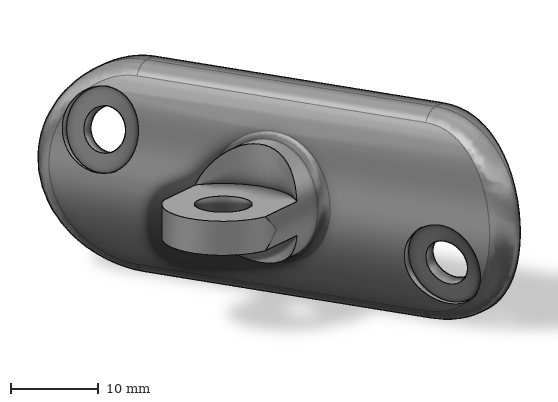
import cadquery as cq
import math

plate_length = 63.0
plate_width = 25.0
inner_radius = 21.4
plate_thickness = 2.65
outer_radius = inner_radius + plate_thickness
plate_edge_fillet = 2.5

boss_radius = 7.0
boss_fillet = 1.0
lug_thickness = 4.05
overall_depth = 24.05
lug_hole_radius = 3.3
scoop_radius = 8.45

screw_x = 22.5
screw_angle = 11.5
screw_hole_radius = 2.7
counterbore_radius = 5.0
counterbore_depth = 1.0

plate_back_y = -math.sqrt(inner_radius**2 - (plate_width / 2) ** 2)
lug_tip_y = plate_back_y - overall_depth
lug_hole_y = lug_tip_y + boss_radius


def cylinder(radius, length, start, direction):
    return cq.Workplane(cq.Solid.makeCylinder(radius, length, cq.Vector(*start), cq.Vector(*direction)))


def make_plate():
    """Curved obround plate with its front edge rounded."""
    start = (-plate_length / 2, 0, 0)
    outer = cylinder(outer_radius, plate_length, start, (1, 0, 0))
    inner = cylinder(inner_radius, plate_length, start, (1, 0, 0))
    outline = cq.Workplane("XZ").slot2D(plate_length, plate_width).extrude(outer_radius)
    plate = outline.intersect(outer).cut(inner)
    front_face = plate.faces(cq.selectors.NearestToPointSelector((0, -outer_radius, 0)))
    return front_face.edges().fillet(plate_edge_fillet)


def add_boss(plate):
    """Join the boss to the plate and blend its root."""
    boss_start_y = -(inner_radius + plate_thickness / 2)
    boss = cylinder(boss_radius, boss_start_y - lug_tip_y, (0, boss_start_y, 0), (0, -1, 0))
    margin = 0.6
    half_size = boss_radius + margin
    root_box = cq.selectors.BoxSelector(
        (-half_size, -outer_radius - margin, -half_size),
        (half_size, -inner_radius - margin, half_size),
        boundingbox=True,
    )
    return plate.union(boss).edges(root_box).fillet(boss_fillet)


def shape_lug(body):
    """Round the tip, scoop both flats and drill the cross hole."""
    tip_block = cq.Workplane("XY").box(2 * boss_radius, boss_radius, 2 * boss_radius)
    tip_block = tip_block.translate((0, lug_tip_y + boss_radius / 2, 0))
    tip_round = cylinder(boss_radius, 2 * boss_radius, (0, lug_hole_y, -boss_radius), (0, 0, 1))
    body = body.cut(tip_block.cut(tip_round))
    for side in (-1, 1):
        start = (0, lug_hole_y, side * lug_thickness / 2)
        body = body.cut(cylinder(scoop_radius, boss_radius, start, (0, 0, side)))
    return body.cut(cylinder(lug_hole_radius, lug_thickness, (0, lug_hole_y, -lug_thickness / 2), (0, 0, 1)))


def drill_screw_holes(body):
    """Two diagonally opposite counterbored holes."""
    angle = math.radians(screw_angle)
    floor_radius = outer_radius - counterbore_depth
    for side in (-1, 1):
        outward = (0, -math.cos(angle), -side * math.sin(angle))
        hole_start = (side * screw_x, 0, 0)
        floor_center = (side * screw_x, floor_radius * outward[1], floor_radius * outward[2])
        body = body.cut(cylinder(screw_hole_radius, outer_radius, hole_start, outward))
        body = body.cut(cylinder(counterbore_radius, 2 * counterbore_depth, floor_center, outward))
    return body


result = drill_screw_holes(shape_lug(add_boss(make_plate())))